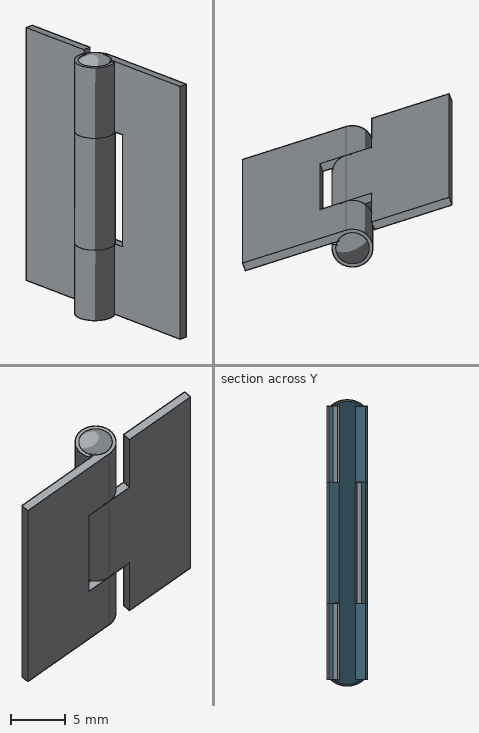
import cadquery as cq
import math

total_height = 26.2
open_width = 20.0
leaf_height = 25.0
sheet_thickness = 0.8

knuckle_diameter = 3.75
center_knuckle_length = 11.05
knuckle_clearance_x = 2.5
roll_end_angle = 31.0

head_diameter = 3.07

outer_radius = knuckle_diameter / 2
bore_radius = outer_radius - sheet_thickness
half_width = open_width / 2
head_radius = head_diameter / 2
head_height = (total_height - leaf_height) / 2
end_knuckle_length = (leaf_height - center_knuckle_length) / 2


def polar_point(radius, degrees):
    angle = math.radians(degrees)
    return (radius * math.cos(angle), radius * math.sin(angle))


def rolled_strip(bottom, height):
    """Flat sheet running to +X from the pin axis, with its end rolled around the pin."""
    return (
        cq.Workplane("XY", origin=(0, 0, bottom))
        .moveTo(half_width, bore_radius)
        .lineTo(half_width, outer_radius)
        .lineTo(0, outer_radius)
        .threePointArc((0, -outer_radius), polar_point(outer_radius, roll_end_angle))
        .lineTo(*polar_point(bore_radius, roll_end_angle))
        .threePointArc((0, -bore_radius), (0, bore_radius))
        .close()
        .extrude(height)
    )


def flat_plate(bottom, height):
    """Flat sheet on the +X side that stops short of the opposite knuckle."""
    return (
        cq.Workplane("XY", origin=(knuckle_clearance_x, bore_radius, bottom))
        .box(half_width - knuckle_clearance_x, sheet_thickness, height, centered=False)
    )


def make_outer_leaf():
    """Leaf on the +X side with a knuckle at each end."""
    leaf = flat_plate(-leaf_height / 2, leaf_height)
    for bottom in (-leaf_height / 2, center_knuckle_length / 2):
        leaf = leaf.union(rolled_strip(bottom, end_knuckle_length))
    return leaf


def make_center_leaf():
    """Leaf on the -X side with one knuckle between the end knuckles."""
    plate = flat_plate(-leaf_height / 2, leaf_height)
    knuckle = rolled_strip(-center_knuckle_length / 2, center_knuckle_length)
    return plate.union(knuckle).mirror("YZ")


def make_pin():
    """Shaft through the knuckles with a spherical-cap head on each end."""
    shoulder = leaf_height / 2
    tip = total_height / 2
    dome_radius = (head_radius**2 + head_height**2) / (2 * head_height)
    arc_x = head_radius / 2
    arc_z = tip - dome_radius + math.sqrt(dome_radius**2 - arc_x**2)
    return (
        cq.Workplane("XZ")
        .moveTo(0, -tip)
        .threePointArc((arc_x, -arc_z), (head_radius, -shoulder))
        .lineTo(bore_radius, -shoulder)
        .lineTo(bore_radius, shoulder)
        .lineTo(head_radius, shoulder)
        .threePointArc((arc_x, arc_z), (0, tip))
        .close()
        .revolve(360, (0, 0, 0), (0, 1, 0))
    )


outer_leaf = make_outer_leaf()
center_leaf = make_center_leaf()
pin = make_pin()

result = cq.Compound.makeCompound([outer_leaf.val(), center_leaf.val(), pin.val()])